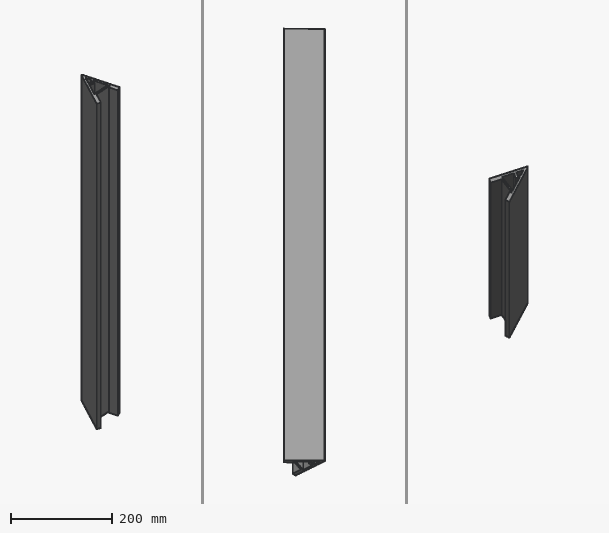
import cadquery as cq
import math

length = 1000.0
base_width = 80.0
height = 58.0
web_thickness = 5.0
lip_thickness = 9.0
nose_height = 2.0
incline_angle = 44.4
lip_start = 56.0
incline_lip_start = 61.0
strut_top = (45.0, 40.0)
strut_bottom = (57.0, 4.0)
strut_thickness = 3.5
bracket_left = 16.0
bracket_right = 30.0
bracket_top = 16.0
bracket_leg_thickness = 5.0
bracket_arm_thickness = 3.5

slope = math.radians(incline_angle)
incline_length = (height - nose_height) / math.sin(slope)


def extrude_outline(points):
    """Closed outline in XY, extruded over the full length."""
    return cq.Workplane("XY").polyline(points).close().extrude(length)


def on_incline(along, depth):
    """Point at a distance along the outer inclined face and a depth below it."""
    return (
        along * math.cos(slope) + depth * math.sin(slope),
        nose_height + along * math.sin(slope) - depth * math.cos(slope),
    )


def make_base():
    return extrude_outline([
        (0, 0),
        (base_width, 0),
        (base_width, lip_thickness),
        (lip_start, lip_thickness),
        (lip_start, web_thickness),
        (0, web_thickness),
    ]).cut(corner_waste())


def corner_waste():
    """Region above the outer inclined face at the sharp corner."""
    return extrude_outline([
        on_incline(0, 0),
        on_incline(lip_thickness, 0),
        on_incline(lip_thickness, -lip_thickness),
        on_incline(0, -lip_thickness),
    ])


def make_incline():
    foot = (web_thickness * math.cos(slope) - nose_height) / math.sin(slope)
    return extrude_outline([
        (0, 0),
        on_incline(0, 0),
        on_incline(incline_length, 0),
        on_incline(incline_length, lip_thickness),
        on_incline(incline_lip_start, lip_thickness),
        on_incline(incline_lip_start, web_thickness),
        on_incline(foot, web_thickness),
    ])


def make_strut():
    run = strut_bottom[0] - strut_top[0]
    rise = strut_bottom[1] - strut_top[1]
    span = math.hypot(run, rise)
    half_x = -rise / span * strut_thickness / 2
    half_y = run / span * strut_thickness / 2
    return extrude_outline([
        (strut_top[0] - half_x, strut_top[1] - half_y),
        (strut_top[0] + half_x, strut_top[1] + half_y),
        (strut_bottom[0] + half_x, strut_bottom[1] + half_y),
        (strut_bottom[0] - half_x, strut_bottom[1] - half_y),
    ])


def make_bracket():
    return extrude_outline([
        (bracket_right - bracket_leg_thickness, 0),
        (bracket_right, 0),
        (bracket_right, bracket_top),
        (bracket_left, bracket_top),
        (bracket_left, bracket_top - bracket_arm_thickness),
        (bracket_right - bracket_leg_thickness, bracket_top - bracket_arm_thickness),
    ])


result = make_base().union(make_incline()).union(make_strut()).union(make_bracket())